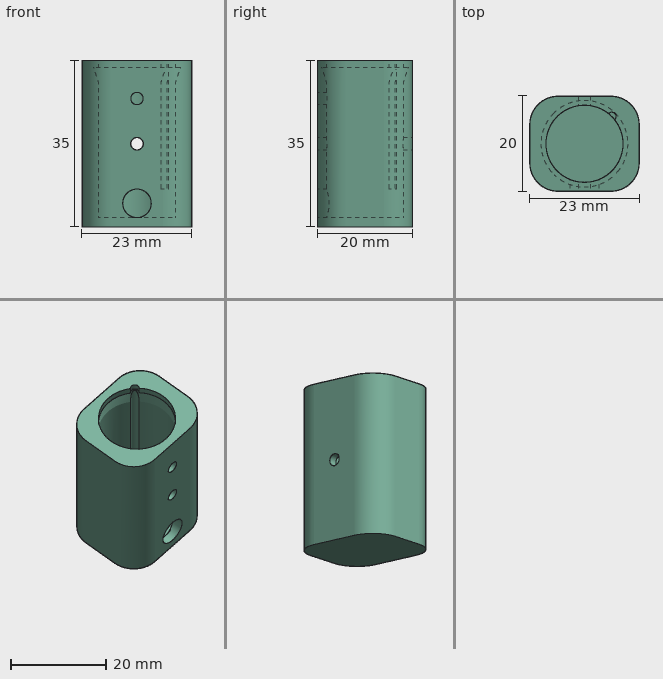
import cadquery as cq
import math

height = 35.0
width = 23.0
depth = 20.0
corner_radius = 6.0

bore_radius = 8.1
floor_thickness = 2.0
relief_top = height - 1.55
relief_bottom = height - 4.65
relief_depth = 1.0

channel_radius = 0.9
channel_angle = math.radians(45)

pin_diameter = 2.6
cross_pin_z = height / 2
upper_pin_z = 27.0
port_diameter = 6.0
port_z = 5.0

channel_bottom = port_z + port_diameter / 2


def cut_bore(body):
    bore = (
        cq.Workplane("XY")
        .workplane(offset=floor_thickness)
        .circle(bore_radius)
        .extrude(height - floor_thickness)
    )
    return body.cut(bore)


def cut_relief(body):
    """Conical undercut below the bore mouth, ending in a flat shoulder."""
    outer_radius = bore_radius + relief_depth
    relief = (
        cq.Workplane("XZ")
        .moveTo(0, relief_bottom)
        .lineTo(bore_radius, relief_bottom)
        .lineTo(outer_radius, relief_top)
        .lineTo(0, relief_top)
        .close()
        .revolve(360, (0, 0, 0), (0, 1, 0))
    )
    return body.cut(relief)


def cut_channel(body):
    """Round channel centred on the bore wall, stopping above the bore floor."""
    channel = (
        cq.Workplane("XY")
        .workplane(offset=channel_bottom)
        .center(bore_radius * math.cos(channel_angle), bore_radius * math.sin(channel_angle))
        .circle(channel_radius)
        .extrude(height - channel_bottom)
    )
    return body.cut(channel)


def cut_front_hole(body, diameter, z, length):
    """Round hole at height z, drilled from the -Y face toward +Y."""
    hole = (
        cq.Workplane("XZ", origin=(0, -depth / 2, 0))
        .center(0, z)
        .circle(diameter / 2)
        .extrude(-length)
    )
    return body.cut(hole)


result = cq.Workplane("XY").box(width, depth, height, centered=(True, True, False))
result = result.edges("|Z").fillet(corner_radius)
result = cut_bore(result)
result = cut_relief(result)
result = cut_channel(result)

result = cut_front_hole(result, pin_diameter, cross_pin_z, depth)
result = cut_front_hole(result, pin_diameter, upper_pin_z, depth / 2)
result = cut_front_hole(result, port_diameter, port_z, depth / 2)